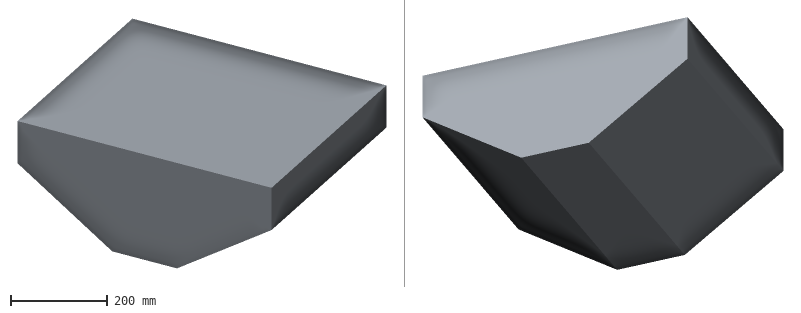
import cadquery as cq

length = 600.0
depth = 500.0
height = 250.0

side_wall_height = 100.0
bottom_flat_length = 153.0

half_length = length / 2
half_flat = bottom_flat_length / 2
slope_top = height - side_wall_height

profile = [
    (-half_flat, 0),
    (half_flat, 0),
    (half_length, slope_top),
    (half_length, height),
    (-half_length, height),
    (-half_length, slope_top),
]

result = cq.Workplane("XZ").polyline(profile).close().extrude(depth / 2, both=True)